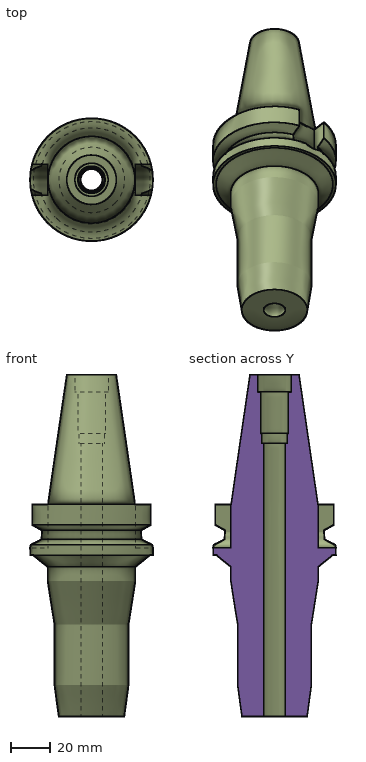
import cadquery as cq
import math


gauge_radius = 44.45 / 2
taper_ratio = 7 / 24
shank_length = 65.4
shank_top_radius = gauge_radius - shank_length * taper_ratio / 2

flange_radius = 63.0 / 2
flange_top_z = -1.0
lower_rim_bottom_z = -27.0
underside_top_radius = 29.9
groove_center_z = -16.6
groove_radius = 26.7
groove_floor_height = 4.7
groove_wall_angle = 30.0

neck_radius = 22.5
neck_top_z = -33.0
neck_bottom_z = -40.3
body_radius = 19.0
body_top_z = -62.5
nose_height = 16.2
nose_end_radius = 16.8
bottom_z = -109.7

slot_width = 16.1
slot_floor_distance = 22.5
slot_depth = 22.1

pull_stud_bore_radius = 8.5
pull_stud_bore_depth = 8.8
thread_bore_radius = 7.0
thread_bore_depth = 30.0
relief_bore_radius = 6.5
relief_bore_depth = 35.0
through_bore_radius = 5.5

groove_wall_height = (flange_radius - groove_radius) * math.tan(math.radians(groove_wall_angle))
groove_floor_top_z = groove_center_z + groove_floor_height / 2
groove_floor_bottom_z = groove_center_z - groove_floor_height / 2
groove_wall_top_z = groove_floor_top_z + groove_wall_height
lower_rim_top_z = groove_floor_bottom_z - groove_wall_height
nose_top_z = bottom_z + nose_height


def make_turned_body():
    """Solid of revolution from the shank top down to the nose."""
    profile = [
        (0, shank_length),
        (shank_top_radius, shank_length),
        (gauge_radius, 0),
        (gauge_radius, flange_top_z),
        (flange_radius, flange_top_z),
        (flange_radius, groove_wall_top_z),
        (groove_radius, groove_floor_top_z),
        (groove_radius, groove_floor_bottom_z),
        (flange_radius, lower_rim_top_z),
        (flange_radius, lower_rim_bottom_z),
        (underside_top_radius, lower_rim_bottom_z),
        (neck_radius, neck_top_z),
        (neck_radius, neck_bottom_z),
        (body_radius, body_top_z),
        (body_radius, nose_top_z),
        (nose_end_radius, bottom_z),
        (0, bottom_z),
    ]
    return cq.Workplane("XZ").polyline(profile).close().revolve(360, (0, 0), (0, 1))


def make_drive_slot(side):
    """Cutter for a round-bottomed slot; side is +1 or -1 along X."""
    slot_radius = slot_width / 2
    bottom = flange_top_z - slot_depth
    arc_center_z = bottom + slot_radius
    return (
        cq.Workplane("YZ", origin=(side * slot_floor_distance, 0, 0))
        .moveTo(-slot_radius, flange_top_z)
        .lineTo(-slot_radius, arc_center_z)
        .threePointArc((0, bottom), (slot_radius, arc_center_z))
        .lineTo(slot_radius, flange_top_z)
        .close()
        .extrude(side * flange_radius)
    )


def make_bore():
    """Cutter for the stepped bore, narrowing downward from the shank top."""
    steps = [
        (pull_stud_bore_radius, pull_stud_bore_depth),
        (thread_bore_radius, thread_bore_depth),
        (relief_bore_radius, relief_bore_depth),
        (through_bore_radius, shank_length - bottom_z),
    ]
    bore = cq.Workplane("XY")
    for radius, depth in steps:
        bore = bore.union(cq.Workplane("XY", origin=(0, 0, shank_length)).circle(radius).extrude(-depth))
    return bore


result = make_turned_body()
for slot_side in (-1, 1):
    result = result.cut(make_drive_slot(slot_side))
result = result.cut(make_bore())